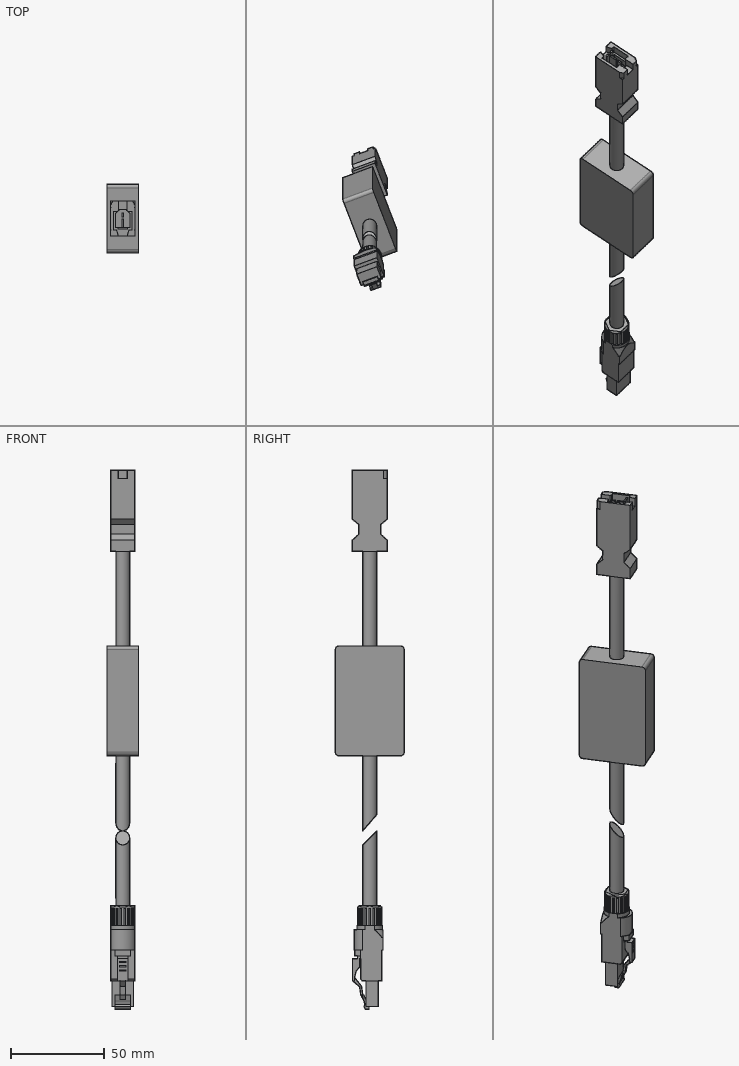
import cadquery as cq

total_height = 289.0
cable_diameter = 7.5
connector_width = 13.0

socket_depth = 18.8
socket_bottom = 245.3
grip_depth = 3.5
grip_bottom = 251.3
grip_lower_rise = 3.2
grip_upper_rise = 3.0
grip_top = 262.5
cavity_half_width = 3.8
cavity_front = -4.5
cavity_back = 5.0
cavity_corner = 2.0
cavity_depth = 8.7
side_groove_depth = 1.2
side_groove_front = -6.0
side_groove_back = 3.8
keyway_width = 4.5
keyway_flare = 7.0
keyway_end = -5.5
notch_height = 4.5
corner_chamfer_x = 1.2
corner_chamfer_y = 2.0
contact_thickness = 1.0
contact_gap = 1.5
contact_spans = [(cavity_front, -0.3), (1.0, 3.2)]

box_width = 17.0
box_depth = 37.0
box_bottom = 135.8
box_height = 59.0
box_fillet = 2.0

upper_break = 100.0
upper_break_rise = 8.7
lower_break = 92.0
lower_break_rise = 7.5

nut_diameter = 13.0
nut_bottom = 45.0
nut_top = 55.8
nut_bevel_count = 6
nut_bevel_height = 1.5
nut_bevel_reach = 7.0
flute_count = 18
flute_size = 1.0
flute_top = 54.0
collar_diameter = 14.0
shoulder_top = 42.8
shoulder_bottom = 31.8
shoulder_front = -8.5
shoulder_arc_centre = shoulder_front + collar_diameter / 2
back_pad = 7.2
housing_back = connector_width / 2
housing_front = -5.0
housing_bottom = 15.3
housing_chamfer = 1.0
back_cone_diameter = 18.5
back_cone_height = 4.3
nose_width = 11.5
nose_back = 4.5
nose_front = -2.0
nose_bottom = 1.5

holder_width = 8.5
holder_front = -8.0
holder_bottom = 28.5
bridge_front = -6.6
lever_top = 27.2
lever_width = 5.8
arm_width = 3.0
lever_front = -9.2
lever_back = -5.5
lever_bottom = 15.3
rib_slot_width = 3.5
rib_slot_depth = 0.5
rib_slot_height = 0.5
rib_slot_count = 3
rib_slot_pitch = 2.3
rib_slot_start = 20.5


def block(x_size, y_min, y_max, z_min, z_max):
    """Box centred on X = 0 between the given Y and Z limits."""
    box = cq.Workplane("XY").box(x_size, y_max - y_min, z_max - z_min, centered=(True, False, False))
    return box.translate((0, y_min, z_min))


def side_plate(points, width):
    """Plate of a (Y, Z) outline, centred on X = 0."""
    return cq.Workplane("YZ").polyline(points).close().extrude(width / 2, both=True)


def rod(diameter, z_min, z_max):
    return cq.Workplane("XY").workplane(offset=z_min).circle(diameter / 2).extrude(z_max - z_min)


def cable(z_min, z_max, bottom_rise=0, top_rise=0):
    """Cable between two heights on its axis, each end rising by the given amount toward +Y."""
    radius = cable_diameter / 2
    outline = [
        (-radius, z_min - bottom_rise / 2),
        (radius, z_min + bottom_rise / 2),
        (radius, z_max + top_rise / 2),
        (-radius, z_max - top_rise / 2),
    ]
    bar = rod(cable_diameter, z_min - bottom_rise, z_max + top_rise)
    return bar.intersect(side_plate(outline, cable_diameter))


def socket_cavity():
    floor = total_height - cavity_depth
    outline = [
        (-cavity_half_width, cavity_front),
        (cavity_half_width, cavity_front),
        (cavity_half_width, cavity_back - cavity_corner),
        (cavity_half_width - cavity_corner, cavity_back),
        (cavity_corner - cavity_half_width, cavity_back),
        (-cavity_half_width, cavity_back - cavity_corner),
    ]
    cavity = cq.Workplane("XY").workplane(offset=floor).polyline(outline).close().extrude(cavity_depth)
    groove_floor = total_height - notch_height
    for side in (-1, 1):
        groove = block(2 * side_groove_depth, side_groove_front, side_groove_back, groove_floor, total_height)
        cavity = cavity.union(groove.translate((side * cavity_half_width, 0, 0)))
    return cavity


def rim_cuts():
    """Blind front keyway, open back keyway and the two chamfered back corners."""
    half = socket_depth / 2
    half_width = connector_width / 2
    floor = cq.Workplane("XY").workplane(offset=total_height - notch_height)
    front = [
        (-keyway_width / 2, -half),
        (keyway_width / 2, -half),
        (keyway_flare / 2, keyway_end),
        (-keyway_flare / 2, keyway_end),
    ]
    cuts = floor.polyline(front).close().extrude(notch_height)
    cuts = cuts.union(block(keyway_width, 0, half, total_height - notch_height, total_height))
    for side in (-1, 1):
        corner = [
            (side * half_width, half),
            (side * (half_width - corner_chamfer_x), half),
            (side * half_width, half - corner_chamfer_y),
        ]
        cuts = cuts.union(floor.polyline(corner).close().extrude(notch_height))
    return cuts


def socket():
    half = socket_depth / 2
    neck = half - grip_depth
    right_side = [
        (half, socket_bottom),
        (half, grip_bottom),
        (neck, grip_bottom + grip_lower_rise),
        (neck, grip_top - grip_upper_rise),
        (half, grip_top),
        (half, total_height),
    ]
    left_side = [(-y, z) for y, z in reversed(right_side)]
    body = side_plate(right_side + left_side, connector_width)
    body = body.cut(socket_cavity()).cut(rim_cuts())
    for y_min, y_max in contact_spans:
        contact_tip = total_height - contact_gap
        body = body.union(block(contact_thickness, y_min, y_max, total_height - cavity_depth, contact_tip))
    return body


def electronics_box():
    half = box_depth / 2
    return block(box_width, -half, half, box_bottom, box_bottom + box_height).edges("|X").fillet(box_fillet)


def clamping_nut():
    nut = rod(nut_diameter, nut_bottom, nut_top)
    bevel_outline = [
        (-nut_bevel_reach, nut_top - nut_bevel_height),
        (-nut_bevel_reach, nut_top),
        (nut_bevel_height - nut_bevel_reach, nut_top),
    ]
    bevel = side_plate(bevel_outline, nut_diameter)
    for i in range(nut_bevel_count):
        nut = nut.cut(bevel.rotate((0, 0, 0), (0, 0, 1), i * 360 / nut_bevel_count))
    for i in range(flute_count):
        flute = block(flute_size, -flute_size / 2, flute_size / 2, nut_bottom, flute_top)
        flute = flute.translate((nut_diameter / 2, 0, 0))
        nut = nut.cut(flute.rotate((0, 0, 0), (0, 0, 1), i * 360 / flute_count))
    return nut


def back_cone():
    """Cylinder around the upper housing whose top narrows to the collar."""
    cone_start = shoulder_top - back_cone_height
    cone = cq.Solid.makeCone(
        back_cone_diameter / 2,
        collar_diameter / 2,
        back_cone_height,
        pnt=cq.Vector(0, 0, cone_start),
    )
    return rod(2 * back_cone_diameter, shoulder_bottom, cone_start).union(cq.Workplane(cone))


def plug_housing():
    body = block(connector_width, housing_front, housing_back, housing_bottom, shoulder_bottom)
    body = body.edges("|X and <Z and <Y").chamfer(housing_chamfer)
    shoulder = rod(collar_diameter, shoulder_bottom, shoulder_top).translate((0, shoulder_arc_centre, 0))
    shoulder = shoulder.intersect(block(connector_width, shoulder_front, 0, shoulder_bottom, shoulder_top))
    back = block(connector_width, shoulder_arc_centre, back_pad, shoulder_bottom, shoulder_top)
    back = back.intersect(back_cone())
    collar = rod(collar_diameter, shoulder_top, nut_bottom)
    collar = collar.intersect(block(connector_width, -collar_diameter, collar_diameter, 0, total_height))
    nose = block(nose_width, nose_front, nose_back, nose_bottom, housing_bottom)
    return body.union(shoulder).union(back).union(collar).union(nose)


def latch():
    holder = block(holder_width, holder_front, housing_front, holder_bottom, shoulder_bottom)
    bridge = block(lever_width, bridge_front, housing_front, lever_top, holder_bottom)
    lever_outline = [
        (lever_back, lever_top),
        (lever_front, lever_top),
        (lever_front, lever_bottom),
        (-8.0, lever_bottom),
        (-8.0, 17.0),
        (-7.2, 20.5),
        (lever_back, 22.5),
    ]
    lever = side_plate(lever_outline, lever_width)
    for i in range(rib_slot_count):
        z = rib_slot_start + i * rib_slot_pitch
        slot = block(rib_slot_width, lever_front, lever_front + rib_slot_depth, z, z + rib_slot_height)
        lever = lever.cut(slot)
    arm_outline = [
        (-8.0, 17.0),
        (lever_front, lever_bottom),
        (-5.5, 12.0),
        (-5.0, 7.8),
        (-3.5, 5.2),
        (-2.5, 5.2),
        (-3.8, 8.5),
        (-4.3, 12.5),
    ]
    arm = side_plate(arm_outline, arm_width)
    hinge_outline = [
        (-0.3, 0),
        (-2.3, 0),
        (-3.2, 1.5),
        (-2.5, 2.5),
        (-3.2, 4.5),
        (-4.0, 7.8),
        (-3.2, 7.8),
        (nose_front, 5.2),
        (-0.3, 3.0),
    ]
    hinge = side_plate(hinge_outline, holder_width)
    return holder.union(bridge).union(lever).union(arm).union(hinge)


upper_cable = cable(upper_break, socket_bottom, bottom_rise=upper_break_rise)
upper_assembly = socket().union(upper_cable).union(electronics_box())

lower_cable = cable(nut_bottom, lower_break, top_rise=lower_break_rise)
lower_assembly = plug_housing().union(latch()).union(clamping_nut()).union(lower_cable)

result = cq.Compound.makeCompound([upper_assembly.val(), lower_assembly.val()])